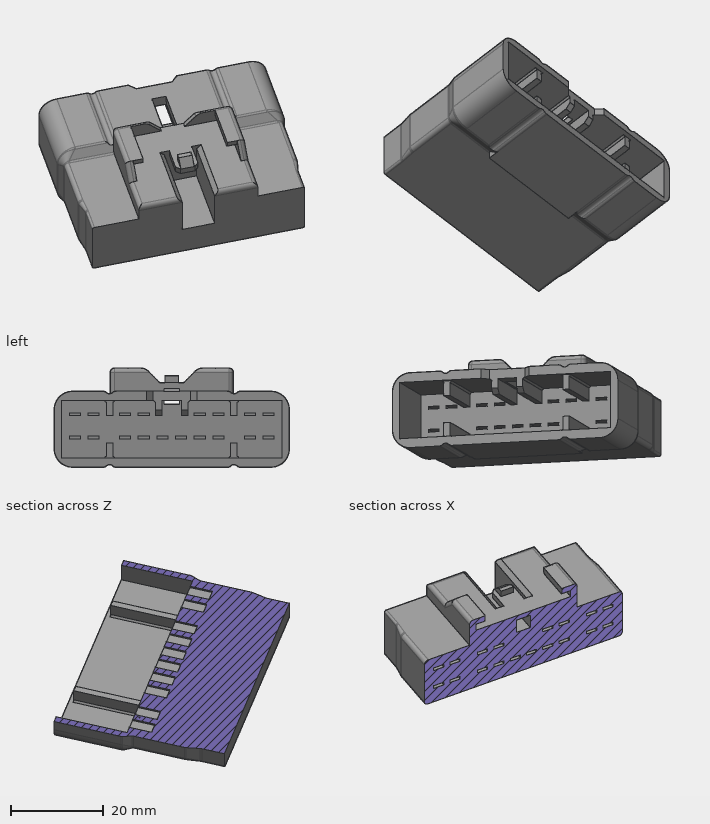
import cadquery as cq
import math

LENGTH = 38.0

SHROUD_WIDTH = 50.7
SHROUD_HEIGHT = 16.4
SHROUD_RADIUS = 4.0
SHROUD_END = 15.3
CAVITY_WIDTH = 47.4
CAVITY_BOTTOM = 2.05
CAVITY_TOP = SHROUD_HEIGHT - CAVITY_BOTTOM

BODY_START = 17.5
BODY_WIDTH = 48.9
BODY_BOTTOM = 2.25
BODY_TOP = 14.7
BODY_RADIUS = 1.0
TAPER_START = 29.35
TAPER_END = 32.7
REAR_WIDTH = 47.4
REAR_RADIUS = 0.5
SHOULDER_BLEND = 0.85
TAPER_EASE = 0.18

LOCK_FRONT = 16.0
LOCK_WIDTH = 26.6
LOCK_TOP = 21.4
PLATEAU_TOP = 18.25
LOCK_RADIUS = 1.0
LUG_END = 27.05
LUG_INNER_Y = 9.4
LUG_ROOF_BOTTOM = 19.8
LUG_ROOF_CHAMFER = 0.5
LUG_WALL_INNER_Y = 11.6
VEE_BOTTOM_HALF_WIDTH = 2.6
VEE_RADIUS = 2.2

CHANNEL_START = 23.2
CHANNEL_WIDTH = 7.2
CHANNEL_FLOOR = 8.9
CHANNEL_CHAMFER = 1.0
TONGUE_END = 29.2
TONGUE_WIDTH = 5.0
TONGUE_CHAMFER = 0.9
WINDOW_WIDTH = 3.3
WINDOW_BOTTOM = 13.6
WINDOW_TOP = 16.9
NUB_START = 26.2
NUB_CREST = 1.0
NUB_WIDTH = 3.0
NUB_HEIGHT = 1.5

NOTCH_DEPTH = 1.5
NOTCH_FRONT_WIDTH = 10.8
NOTCH_BACK_WIDTH = 8.0
SLOT_START = 5.4
SLOT_WIDTH = 3.1
SLOT_END_SLOPE = 0.4

RIB_Y = 13.4
GROOVE_RADIUS = 0.95
GROOVE_ANGLE = math.radians(45)

RIB_START = 1.0
RIB_WIDTH = 1.4
RIB_HEIGHT = 3.2
RIB_ROOT = 0.4
INNER_RIB_Y = 2.8
INNER_RIB_CHAMFER = 1.2

TERMINAL_WIDTH = 2.4
TERMINAL_THICKNESS = 0.6
TERMINAL_DEPTH = 5.0
UPPER_ROW_Z = 11.45
LOWER_ROW_Z = 6.45
OUTER_TERMINALS_Y = (6.03, 10.05, 16.83, 20.87)
MIDDLE_TERMINAL_Y = 1.97


def box(x_range, width, z_range, y_centre=0.0):
    """Box between two x and two z values, centred on y_centre."""
    x0, x1 = x_range
    z0, z1 = z_range
    return (
        cq.Workplane("XY")
        .box(x1 - x0, width, z1 - z0, centered=(False, True, False))
        .translate((x0, y_centre, z0))
    )


def section(x, width, z_range, radius):
    """Rounded rectangle across the part at the given x."""
    z0, z1 = z_range
    sketch = cq.Sketch().rect(width, z1 - z0).vertices().fillet(radius)
    return cq.Workplane("YZ", origin=(x, 0, (z0 + z1) / 2)).placeSketch(sketch)


def section_between(x_a, section_a, x_b, section_b):
    """Straight loft from one rounded rectangle to another."""
    sketches = []
    for x, (width, (z0, z1), radius) in ((x_a, section_a), (x_b, section_b)):
        centre = cq.Location(cq.Vector(0, (z0 + z1) / 2, x))
        sketches.append(cq.Sketch().rect(width, z1 - z0).vertices().fillet(radius).moved(centre))
    return cq.Workplane("YZ").placeSketch(*sketches).loft(ruled=True)


def make_taper(body, rear):
    """Sides closing in from body to rear, each bend eased by a short facet at half the slope."""
    ease_share = TAPER_EASE / (TAPER_END - TAPER_START)

    def partway(share):
        width = body[0] + share * (rear[0] - body[0])
        radius = body[2] + share * (rear[2] - body[2])
        return (width, body[1], radius)

    stations = (
        (TAPER_START - TAPER_EASE, body),
        (TAPER_START + TAPER_EASE, partway(ease_share)),
        (TAPER_END - TAPER_EASE, partway(1 - ease_share)),
        (TAPER_END + TAPER_EASE, rear),
    )
    taper = section_between(*stations[0], *stations[1])
    for start, end in zip(stations[1:], stations[2:]):
        taper = taper.union(section_between(*start, *end))
    return taper


def blend_across(shell, x, radius):
    """Round the bend that runs all around the shell at x."""
    margin = 0.01
    reach = SHROUD_WIDTH
    around_x = cq.selectors.BoxSelector(
        (x - margin, -reach, -reach), (x + margin, reach, reach), boundingbox=True
    )
    return shell.edges(around_x).fillet(radius)


def make_shell():
    """Shroud, sloped shoulder, body and tapered rear, all still solid."""
    shroud = (SHROUD_WIDTH, (0, SHROUD_HEIGHT), SHROUD_RADIUS)
    body = (BODY_WIDTH, (BODY_BOTTOM, BODY_TOP), BODY_RADIUS)
    rear = (REAR_WIDTH, (BODY_BOTTOM, BODY_TOP), REAR_RADIUS)
    shell = section(0, *shroud).extrude(SHROUD_END)
    shell = shell.union(section_between(SHROUD_END, shroud, BODY_START, body))
    shell = shell.union(section(BODY_START, *body).extrude(TAPER_START - TAPER_EASE - BODY_START))
    shell = shell.union(make_taper(body, rear))
    shell = shell.union(section(TAPER_END + TAPER_EASE, *rear).extrude(LENGTH - TAPER_END - TAPER_EASE))
    for bend in (SHROUD_END, BODY_START):
        shell = blend_across(shell, bend, SHOULDER_BLEND)
    groove_half_width = 2 * GROOVE_RADIUS * math.sin(GROOVE_ANGLE)
    middle_width = 2 * (RIB_Y - groove_half_width)
    middle_start = SHROUD_END - SHOULDER_BLEND
    shell = shell.union(box((middle_start, BODY_START), middle_width, (0, BODY_TOP)))
    return shell.union(box((middle_start, LOCK_FRONT), middle_width, (BODY_TOP, SHROUD_HEIGHT)))


def make_groove():
    """Groove cutter for the top face: a concave arc blended into convex arcs on both sides."""
    step_y = GROOVE_RADIUS * math.sin(GROOVE_ANGLE)
    step_z = GROOVE_RADIUS * (1 - math.cos(GROOVE_ANGLE))
    mid_y = GROOVE_RADIUS * math.sin(GROOVE_ANGLE / 2)
    mid_z = GROOVE_RADIUS * (1 - math.cos(GROOVE_ANGLE / 2))
    depth = 2 * step_z
    half_width = 2 * step_y
    return (
        cq.Workplane("YZ", origin=(0, RIB_Y, SHROUD_HEIGHT))
        .moveTo(-half_width, 0)
        .threePointArc((-half_width + mid_y, -mid_z), (-step_y, -step_z))
        .threePointArc((0, -depth), (step_y, -step_z))
        .threePointArc((half_width - mid_y, -mid_z), (half_width, 0))
        .close()
        .extrude(BODY_START)
    )


def cut_grooves(part):
    top_groove = make_groove()
    bottom_groove = top_groove.mirror("XY", (0, 0, SHROUD_HEIGHT / 2))
    for groove in (top_groove, bottom_groove):
        part = part.cut(groove).cut(groove.mirror("XZ"))
    return part


def make_lock():
    """Lock housing: rounded front wall with a vee, two sloped undercut lugs and a flat plateau."""
    slope_end = LUG_END + LOCK_TOP - PLATEAU_TOP
    lock = (
        cq.Workplane("XZ")
        .moveTo(LOCK_FRONT, WINDOW_BOTTOM)
        .lineTo(LOCK_FRONT, LOCK_TOP)
        .lineTo(LUG_END, LOCK_TOP)
        .lineTo(slope_end, PLATEAU_TOP)
        .lineTo(LENGTH, PLATEAU_TOP)
        .lineTo(LENGTH, WINDOW_BOTTOM)
        .close()
        .extrude(LOCK_WIDTH / 2, both=True)
    )
    side_edges = lock.faces("<Y or >Y").edges("not(<Z or >X)")
    cross_edges = lock.faces(">Z").edges("<X").add(lock.faces(">X").edges(">Z"))
    lock = side_edges.add(cross_edges).fillet(LOCK_RADIUS)

    above_plateau = (PLATEAU_TOP, LOCK_TOP)
    wall_back = LOCK_FRONT + LOCK_RADIUS
    lock = lock.cut(box((wall_back, LENGTH), 2 * LUG_INNER_Y, above_plateau))
    lock = lock.cut(box((LUG_END, LENGTH), 2 * LUG_WALL_INNER_Y, above_plateau))
    return lock.cut(make_lug_undercut()).cut(make_vee())


def make_lug_undercut():
    """Space under the lug roofs, with the roofs' lower rear edge chamfered."""
    wall_back = LOCK_FRONT + LOCK_RADIUS
    return (
        cq.Workplane("XZ")
        .moveTo(wall_back, PLATEAU_TOP)
        .lineTo(wall_back, LUG_ROOF_BOTTOM)
        .lineTo(LUG_END - LUG_ROOF_CHAMFER, LUG_ROOF_BOTTOM)
        .lineTo(LUG_END, LUG_ROOF_BOTTOM + LUG_ROOF_CHAMFER)
        .lineTo(LUG_END, PLATEAU_TOP)
        .close()
        .extrude(LUG_WALL_INNER_Y, both=True)
    )


def make_vee():
    """45 degree vee through the front wall, its upper corners rounded."""
    rise = LOCK_TOP - PLATEAU_TOP
    corner_y = VEE_BOTTOM_HALF_WIDTH + rise
    slant = math.radians(45)
    half_slant = slant / 2
    tangent = VEE_RADIUS * math.tan(half_slant)
    start = (corner_y - tangent * math.cos(slant), rise - tangent * math.sin(slant))
    end = (corner_y + tangent, rise)
    middle = (
        end[0] - VEE_RADIUS * math.sin(half_slant),
        rise - VEE_RADIUS * (1 - math.cos(half_slant)),
    )

    def mirrored(point):
        return (-point[0], point[1])

    return (
        cq.Workplane("YZ", origin=(LOCK_FRONT, 0, PLATEAU_TOP))
        .moveTo(-VEE_BOTTOM_HALF_WIDTH, 0)
        .lineTo(VEE_BOTTOM_HALF_WIDTH, 0)
        .lineTo(*start)
        .threePointArc(middle, end)
        .lineTo(*mirrored(end))
        .threePointArc(mirrored(middle), mirrored(start))
        .close()
        .extrude(LOCK_RADIUS)
    )


def make_channel():
    """Open-topped lock channel running out of the rear, flared at its top edges."""
    half_width = CHANNEL_WIDTH / 2
    return (
        cq.Workplane("YZ", origin=(CHANNEL_START, 0, 0))
        .moveTo(-half_width, CHANNEL_FLOOR)
        .lineTo(half_width, CHANNEL_FLOOR)
        .lineTo(half_width, PLATEAU_TOP - CHANNEL_CHAMFER)
        .lineTo(half_width + CHANNEL_CHAMFER, PLATEAU_TOP)
        .lineTo(-half_width - CHANNEL_CHAMFER, PLATEAU_TOP)
        .lineTo(-half_width, PLATEAU_TOP - CHANNEL_CHAMFER)
        .close()
        .extrude(LENGTH - CHANNEL_START)
    )


def make_tongue():
    """Lock tongue over the channel with a ramped nub at its tip."""
    tongue = box((CHANNEL_START, TONGUE_END), TONGUE_WIDTH, (WINDOW_TOP, PLATEAU_TOP))
    tongue = tongue.edges(">X and |Z").chamfer(TONGUE_CHAMFER)
    nub = (
        cq.Workplane("XZ", origin=(NUB_START, 0, PLATEAU_TOP))
        .lineTo(0, NUB_HEIGHT)
        .lineTo(NUB_CREST, NUB_HEIGHT)
        .lineTo(TONGUE_END - NUB_START, 0)
        .close()
        .extrude(NUB_WIDTH / 2, both=True)
    )
    return tongue.union(nub)


def make_front_notch():
    """Tapered notch in the front edge of the shroud's top wall."""
    return (
        cq.Workplane("XY", origin=(0, 0, CAVITY_TOP))
        .moveTo(0, -NOTCH_FRONT_WIDTH / 2)
        .lineTo(NOTCH_DEPTH, -NOTCH_BACK_WIDTH / 2)
        .lineTo(NOTCH_DEPTH, NOTCH_BACK_WIDTH / 2)
        .lineTo(0, NOTCH_FRONT_WIDTH / 2)
        .close()
        .extrude(SHROUD_HEIGHT - CAVITY_TOP)
    )


def make_top_slot():
    """Slot through the shroud's top wall with a slightly sloped front end."""
    return (
        cq.Workplane("XZ")
        .moveTo(SLOT_START, SHROUD_HEIGHT)
        .lineTo(SLOT_START + SLOT_END_SLOPE, CAVITY_TOP)
        .lineTo(LOCK_FRONT, CAVITY_TOP)
        .lineTo(LOCK_FRONT, SHROUD_HEIGHT)
        .close()
        .extrude(SLOT_WIDTH / 2, both=True)
    )


def root_flare(y_face, side):
    """Small 45 degree flare where the face of a top rib meets the cavity's top wall."""
    return (
        cq.Workplane("YZ", origin=(RIB_START, y_face, CAVITY_TOP))
        .lineTo(side * RIB_ROOT, 0)
        .lineTo(0, -RIB_ROOT)
        .close()
        .extrude(LOCK_FRONT - RIB_START)
    )


def make_outer_rib():
    rib = box((RIB_START, LOCK_FRONT), RIB_WIDTH, (CAVITY_TOP - RIB_HEIGHT, CAVITY_TOP), RIB_Y)
    for side in (-1, 1):
        rib = rib.union(root_flare(RIB_Y + side * RIB_WIDTH / 2, side))
    return rib


def make_inner_rib():
    """Rib beside the top slot, bevelled at its lower front corner and flared on its outer face only."""
    z_range = (CAVITY_TOP - RIB_HEIGHT, CAVITY_TOP)
    rib = box((NOTCH_DEPTH, LOCK_FRONT), RIB_WIDTH, z_range, INNER_RIB_Y)
    rib = rib.edges("<X and <Z").chamfer(INNER_RIB_CHAMFER)
    flare = root_flare(INNER_RIB_Y + RIB_WIDTH / 2, 1)
    return rib.union(flare.intersect(box((NOTCH_DEPTH, LOCK_FRONT), LOCK_WIDTH, z_range)))


def add_ribs(part):
    upper_rib = make_outer_rib()
    lower_rib = upper_rib.mirror("XY", (0, 0, SHROUD_HEIGHT / 2))
    for rib in (upper_rib, lower_rib, make_inner_rib()):
        part = part.union(rib).union(rib.mirror("XZ"))
    return part


def cut_terminal_slots(part):
    """Two rows of blind slots; the window and channel take the place of the upper middle pair."""
    x_range = (LOCK_FRONT, LOCK_FRONT + TERMINAL_DEPTH)
    rows = (
        (UPPER_ROW_Z, OUTER_TERMINALS_Y),
        (LOWER_ROW_Z, (MIDDLE_TERMINAL_Y,) + OUTER_TERMINALS_Y),
    )
    for z, y_places in rows:
        z_range = (z - TERMINAL_THICKNESS / 2, z + TERMINAL_THICKNESS / 2)
        for y in y_places:
            for side in (-1, 1):
                part = part.cut(box(x_range, TERMINAL_WIDTH, z_range, side * y))
    return part


part = cut_grooves(make_shell())
part = part.union(make_lock())
part = part.cut(box((0, LOCK_FRONT), CAVITY_WIDTH, (CAVITY_BOTTOM, CAVITY_TOP)))
part = part.cut(make_front_notch())
part = part.cut(make_top_slot())
part = add_ribs(part)
part = part.cut(make_channel())
part = part.cut(box((LOCK_FRONT, CHANNEL_START), WINDOW_WIDTH, (WINDOW_BOTTOM, WINDOW_TOP)))
part = part.union(make_tongue())
part = cut_terminal_slots(part)

result = part